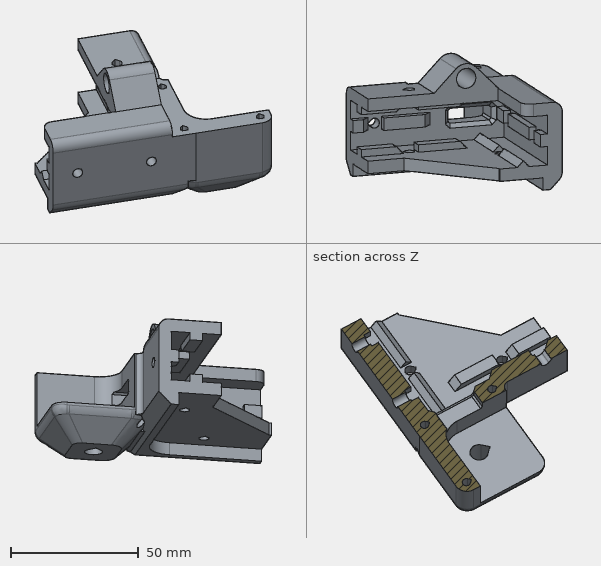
import cadquery as cq
import math

length_x = 70.0
length_y = 90.0
body_top = 35.0
wall = 5.0
corner_radius = 4.0

channel_size = 20.0
channel_right = 63.8
channel_front = 30.0
channel_back = channel_front + channel_size
channel_top = body_top - wall
channel_floor = channel_top - channel_size
channel_mid_z = channel_floor + channel_size / 2
cross_mid_y = channel_front + channel_size / 2
side_mid_x = channel_right - channel_size / 2
body_back = channel_back + wall

flange_left = 54.0
web_corner_x = 15.0
web_nose_x = 44.0

foot_height = channel_floor - wall
rim_inset = 3.0
rim_left = 61.9
rim_front = channel_back - rim_inset
rim_corner_radius = 10.0
side_edge_radius = 4.5

key_width = 5.0
key_height = 3.0
ridge_height = 2.5
floor_key_spans = ((0, 17.55), (23.7, 44.0))
back_key_spans = ((0, 7.2), (12.9, 32.9))
side_key_spans = ((0, 7.1), (12.9, 37.1), (42.5, channel_back))
ridge_spans = ((0, 22.05), (27.8, channel_back))

screw_diameter = 4.0
mount_diameter = 3.1
shaft_diameter = 7.0
pivot_diameter = 8.0
cross_screw_x = 21.0
back_screw_x = 10.0
floor_screw_y = 24.9
side_screw_front_y = 10.0
mount_pitch = 31.0

motor_size = 40.0
motor_x = length_x - motor_size / 2
motor_y = length_y - motor_size / 2
motor_left = length_x - motor_size
motor_foot_z = -5.0
motor_taper = foot_height - motor_foot_z
motor_foot_size = motor_size - 2 * motor_taper
motor_plate_top = 7.9
motor_back_radius = 4.95
motor_front_radius = 8.1
foot_back_radius = 3.4
foot_front_radius = 5.0
bend_search = 0.45
cavity_front = 58.05
cavity_right = 61.7
cavity_radius = 9.0
web_fillet = 2.5
ledge_z = 1.5
ledge_front = 51.3
ledge_depth = 2.7
ledge_left = 40.5
ledge_right = 65.7

seat_front = 48.5
seat_left = 23.4
ramp_notch_left = 26.7

slot_length = 17.9
slot_height = 5.9
slot_corner = 0.8
mouth_corner = 1.8
slot_flare = 1.6

lug_x = 40.9
lug_z = 40.0
lug_radius = 5.9


def block(x0, x1, y0, y1, z0, z1):
    """Box given by its limits along each axis."""
    return cq.Workplane("XY").box(x1 - x0, y1 - y0, z1 - z0, centered=False).translate((x0, y0, z0))


def extrude_along_x(points, x0, x1):
    """Prism with (y, z) outline between two x positions."""
    return cq.Workplane("YZ").workplane(offset=x0).polyline(points).close().extrude(x1 - x0)


def extrude_along_y(points, y0, y1):
    """Prism with (x, z) outline between two y positions."""
    return cq.Workplane("XZ").workplane(offset=-y0).polyline(points).close().extrude(y0 - y1)


def teardrop(plane, diameter, u, v, start, depth):
    """Round hole with a 90-degree point toward -X; u and v lie in the given plane."""
    radius = diameter / 2
    offset = radius * math.sqrt(0.5)
    return (
        cq.Workplane(plane).workplane(offset=start)
        .moveTo(u - offset, v - offset)
        .threePointArc((u + radius, v), (u - offset, v + offset))
        .lineTo(u - radius * math.sqrt(2), v)
        .close()
        .extrude(depth)
    )


def cross_beam():
    outline = [
        (channel_front, 0),
        (body_back - foot_height, 0),
        (body_back, foot_height),
        (body_back, body_top),
        (channel_front, body_top),
    ]
    beam = extrude_along_x(outline, 0, length_x - wall)
    return beam.edges("|X and >Y and >Z").fillet(corner_radius)


def side_beam():
    outline = [
        (flange_left, 0),
        (length_x - foot_height, 0),
        (length_x, foot_height),
        (length_x, body_top),
        (flange_left, body_top),
    ]
    beam = extrude_along_y(outline, 0, body_back)
    beam = beam.edges("|X and <Z and >Y").chamfer(foot_height)
    beam = beam.edges("|Y and >X and >Z").fillet(corner_radius)
    beam = beam.edges(cq.selectors.NearestToPointSelector((length_x, body_back / 2, foot_height)))
    return beam.fillet(side_edge_radius)


def floor_web():
    outline = [
        (web_corner_x, channel_front),
        (web_nose_x, channel_front - (web_nose_x - web_corner_x)),
        (web_nose_x, 0),
        (length_x - wall, 0),
        (length_x - wall, channel_back),
        (web_corner_x, channel_back),
    ]
    return cq.Workplane("XY").workplane(offset=foot_height).polyline(outline).close().extrude(wall)


def motor_outline(size, back_radius, front_radius):
    """Square with rounded corners, centred on the motor axis."""
    return (
        cq.Sketch().rect(size, size)
        .vertices(">Y").fillet(back_radius)
        .reset()
        .vertices("<Y").fillet(front_radius)
    )


def motor_block():
    """Square block whose underside tapers inward at 45 degrees."""
    foot_outline = motor_outline(motor_foot_size, foot_back_radius, foot_front_radius)
    full_outline = motor_outline(motor_size, motor_back_radius, motor_front_radius)
    raised_outline = full_outline.moved(cq.Location(cq.Vector(0, 0, motor_taper)))
    taper = (
        cq.Workplane("XY", origin=(motor_x, motor_y, motor_foot_z))
        .placeSketch(foot_outline, raised_outline)
        .loft(ruled=True)
    )
    upper = (
        cq.Workplane("XY", origin=(motor_x, motor_y, foot_height))
        .placeSketch(full_outline)
        .extrude(channel_top - foot_height)
    )
    bend = cq.selectors.BoxSelector(
        (0, 0, foot_height - bend_search), (length_x + wall, length_y + wall, foot_height + bend_search)
    )
    return taper.union(upper).edges(bend).fillet(side_edge_radius)


def motor_cavity():
    """Space above the motor plate, open toward -X and +Y."""
    cavity = block(
        motor_left - wall, cavity_right, cavity_front, length_y + wall, motor_plate_top, body_top
    )
    return cavity.edges("|Z and >X and <Y").fillet(cavity_radius)


def inside_corner():
    """Concave fill where the back wall turns into the left side of the motor block."""
    fill = block(
        motor_left - web_fillet, motor_left + wall,
        body_back - web_fillet, body_back + web_fillet,
        foot_height, channel_top,
    )
    hollow = (
        cq.Workplane("XY", origin=(motor_left - web_fillet, body_back + web_fillet, foot_height))
        .circle(web_fillet)
        .extrude(body_top)
    )
    return fill.cut(hollow)


def seat_cut():
    """Removes the body above the channel ceiling at the back, with a 45-degree ramp on its left."""
    outline = [
        (seat_left, body_top),
        (seat_left + wall, channel_top),
        (length_x, channel_top),
        (length_x, body_top),
    ]
    return extrude_along_y(outline, seat_front, body_back)


def foot_recess():
    """Hollow below the floor that leaves the foot rim along the back and the right side."""
    recess = block(0, rim_left, 0, rim_front, 0, foot_height)
    return recess.edges("|Z and >X and >Y").fillet(rim_corner_radius)


def flange_corner_cut():
    """Waste outside the rounded free corner of the side flange."""
    size = corner_radius
    corner = block(flange_left, flange_left + size, 0, size, channel_top, body_top)
    rounding = (
        cq.Workplane("XY", origin=(flange_left + size, size, channel_top))
        .circle(size)
        .extrude(wall)
    )
    return corner.cut(rounding)


def floor_and_ceiling_keys():
    """Keys along the cross channel; each ends in a 45-degree ramp on its right."""
    keys = cq.Workplane("XY")
    y0 = cross_mid_y - key_width / 2
    for start, end in floor_key_spans:
        for base_z, direction in ((channel_floor, 1), (channel_top, -1)):
            tip_z = base_z + direction * key_height
            outline = [(start, base_z), (start, tip_z), (end - key_height, tip_z), (end, base_z)]
            keys = keys.union(extrude_along_y(outline, y0, y0 + key_width))
    return keys


def back_wall_keys():
    """Keys on the back wall of the channel; each ends in a 45-degree ramp on its right."""
    keys = cq.Workplane("XY")
    tip_y = channel_back - key_height
    for start, end in back_key_spans:
        outline = [(start, channel_back), (start, tip_y), (end - key_height, tip_y), (end, channel_back)]
        key = cq.Workplane("XY").polyline(outline).close().extrude(key_width)
        keys = keys.union(key.translate((0, 0, channel_mid_z - key_width / 2)))
    return keys


def side_wall_keys():
    """Square-ended keys on the right wall of the channel."""
    keys = cq.Workplane("XY")
    z0 = channel_mid_z - key_width / 2
    for start, end in side_key_spans:
        keys = keys.union(block(channel_right - key_height, channel_right, start, end, z0, z0 + key_width))
    return keys


def floor_ridges():
    """V-shaped ridge along the side channel, interrupted around the floor screw."""
    ridges = cq.Workplane("XY")
    outline = [
        (side_mid_x - ridge_height, channel_floor),
        (side_mid_x, channel_floor + ridge_height),
        (side_mid_x + ridge_height, channel_floor),
    ]
    for start, end in ridge_spans:
        ridges = ridges.union(extrude_along_y(outline, start, end))
    return ridges


def pivot_lug():
    """Triangular lug with 45-degree flanks tangent to its rounded top."""
    tangent = lug_radius * math.sqrt(0.5)
    foot_half = lug_radius * math.sqrt(2) + lug_z - body_top
    return (
        cq.Workplane("XZ", origin=(0, channel_front, 0))
        .moveTo(lug_x - foot_half, channel_top)
        .lineTo(lug_x - foot_half, body_top)
        .lineTo(lug_x - tangent, lug_z + tangent)
        .threePointArc((lug_x, lug_z + lug_radius), (lug_x + tangent, lug_z + tangent))
        .lineTo(lug_x + foot_half, body_top)
        .lineTo(lug_x + foot_half, channel_top)
        .close()
        .extrude(channel_front - seat_front)
        .cut(
            cq.Workplane("XZ", origin=(lug_x, channel_front, lug_z))
            .circle(pivot_diameter / 2)
            .extrude(channel_front - seat_front)
        )
    )


def clipped_slot(length, height, corner):
    """Outline points of a rectangle with its corners clipped at 45 degrees."""
    x = length / 2
    z = height / 2
    return [
        (-x + corner, -z), (x - corner, -z), (x, -z + corner), (x, z - corner),
        (x - corner, z), (-x + corner, z), (-x, z - corner), (-x, -z + corner),
    ]


def belt_slot():
    """Slot through the back wall, flared at 45 degrees on its channel side."""
    depth = cavity_front + cavity_radius - channel_back
    inner = clipped_slot(slot_length, slot_height, slot_corner)
    outer = clipped_slot(slot_length + 2 * slot_flare, slot_height + 2 * slot_flare, mouth_corner)
    mouth_plane = cq.Workplane("XZ", origin=(motor_x, channel_back, channel_mid_z))
    slot = mouth_plane.polyline(inner).close().extrude(-depth)
    flare = (
        mouth_plane.polyline(outer).close()
        .workplane(offset=-slot_flare)
        .polyline(inner).close()
        .loft(ruled=True)
    )
    return slot.union(flare)


def screw_holes():
    beam_height = body_top - foot_height
    holes = teardrop("XY", screw_diameter, cross_screw_x, cross_mid_y, foot_height, beam_height)
    holes = holes.union(teardrop("XY", screw_diameter, side_mid_x, floor_screw_y, foot_height, channel_floor))
    back_hole = teardrop("XZ", screw_diameter, back_screw_x, channel_mid_z, -body_back, wall + key_height)
    side_holes = (
        cq.Workplane("YZ", origin=(channel_right - key_height, 0, channel_mid_z))
        .pushPoints([(side_screw_front_y, 0), (cross_mid_y, 0)])
        .circle(screw_diameter / 2)
        .extrude(length_x - channel_right + key_height)
    )
    return holes.union(back_hole).union(side_holes)


def motor_holes():
    """Shaft hole and three mounting holes through the full height of the motor block."""
    depth = channel_top - motor_foot_z
    holes = teardrop("XY", shaft_diameter, motor_x, motor_y, motor_foot_z, depth)
    half = mount_pitch / 2
    for side_x, side_y in ((-1, -1), (1, -1), (1, 1)):
        hole = teardrop(
            "XY", mount_diameter, motor_x + side_x * half, motor_y + side_y * half, motor_foot_z, depth
        )
        holes = holes.union(hole)
    return holes


notch_ledge = block(
    ledge_left, ledge_right, ledge_front, ledge_front + ledge_depth, ledge_z, ledge_z + wall
)
right_corner = block(cavity_right, length_x, channel_back, cavity_front, motor_plate_top, channel_top)
ramp_notch = block(
    ramp_notch_left, seat_left + wall, seat_front, channel_back, channel_top, channel_top + wall
)
channel = block(0, channel_right, 0, channel_back, channel_floor, channel_top)

body = cross_beam().union(side_beam()).union(floor_web()).union(motor_block())
body = body.union(notch_ledge).union(inside_corner()).union(right_corner)
body = body.cut(motor_cavity()).cut(foot_recess()).cut(flange_corner_cut())
body = body.cut(channel).cut(seat_cut()).cut(ramp_notch)
body = body.union(floor_and_ceiling_keys()).union(back_wall_keys())
body = body.union(side_wall_keys()).union(floor_ridges()).union(pivot_lug())
result = body.cut(belt_slot()).cut(screw_holes()).cut(motor_holes())